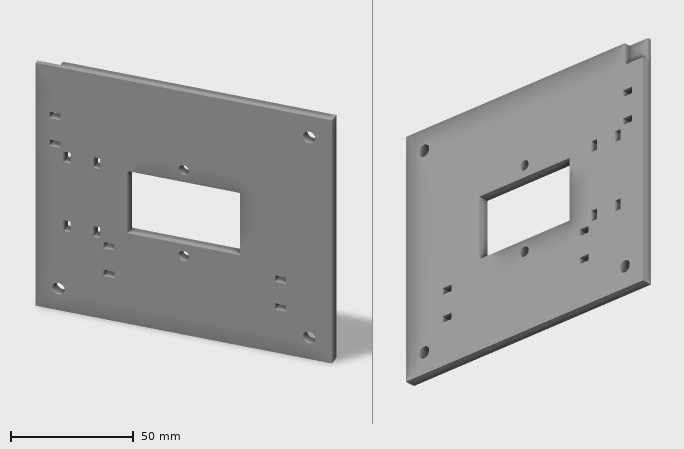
import cadquery as cq

width = 130.0
thickness = 5.0
height = 113.5

corner_size = 10.0
corner_recess_depth = 3.0
mounting_hole_diameter = 5.5

window_width = 49.3
window_height = 29.0
screw_hole_diameter = 4.5
screw_hole_offset = 20.0

slot_length = 5.0
slot_width = 3.0
slot_pitch = 13.0
side_pair_x = -56.5
side_pair_top_z = 33.7
upright_pair_left_x = -51.2
upright_pair_heights = (15.3, -16.8)
lower_pair_positions = (-32.8, 42.5)
lower_pair_top_z = -22.2


def through_box(size_x, size_z, points):
    """Rectangular cutters passing through the plate at the (x, z) points."""
    return (
        cq.Workplane("XZ")
        .pushPoints(points)
        .rect(size_x, size_z)
        .extrude(thickness, both=True)
    )


def through_holes(diameter, points):
    """Round cutters passing through the plate at the (x, z) points."""
    return (
        cq.Workplane("XZ")
        .pushPoints(points)
        .circle(diameter / 2)
        .extrude(thickness, both=True)
    )


def stacked_pair(x, top_z):
    """Two slot centres, one below the other."""
    return [(x, top_z), (x, top_z - slot_pitch)]


plate = cq.Workplane("XY").box(width, thickness, height)

corner_recess = (
    cq.Workplane("XY")
    .box(corner_size, corner_recess_depth, corner_size, centered=False)
    .translate((-width / 2, thickness / 2 - corner_recess_depth, height / 2 - corner_size))
)
plate = plate.cut(corner_recess)

hole_x = width / 2 - corner_size
hole_z = height / 2 - corner_size
mounting_points = [(hole_x, hole_z), (hole_x, -hole_z), (-hole_x, -hole_z)]
plate = plate.cut(through_holes(mounting_hole_diameter, mounting_points))
screw_points = [(0, screw_hole_offset), (0, -screw_hole_offset)]
plate = plate.cut(through_holes(screw_hole_diameter, screw_points))

plate = plate.cut(through_box(window_width, window_height, [(0, 0)]))

flat_slots = stacked_pair(side_pair_x, side_pair_top_z)
for pair_x in lower_pair_positions:
    flat_slots += stacked_pair(pair_x, lower_pair_top_z)
plate = plate.cut(through_box(slot_length, slot_width, flat_slots))

upright_slots = []
for pair_z in upright_pair_heights:
    upright_slots += [(upright_pair_left_x, pair_z), (upright_pair_left_x + slot_pitch, pair_z)]
plate = plate.cut(through_box(slot_width, slot_length, upright_slots))

result = plate